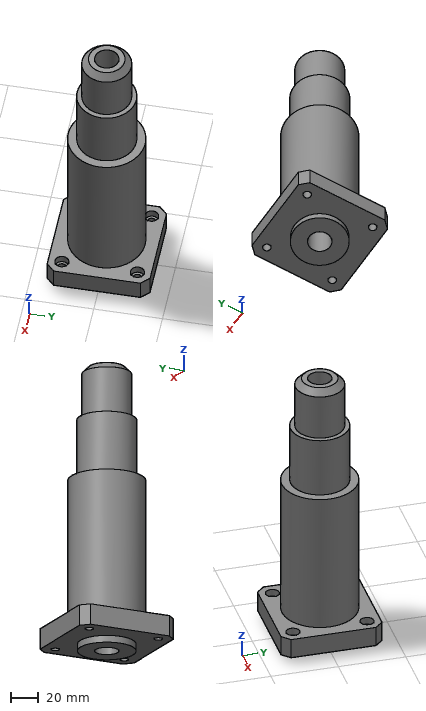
import cadquery as cq

total_height = 212.2
flange_width = 75.0
flange_thickness = 15.3
flange_corner_chamfer = 6.0

spigot_diameter = 42.0
spigot_height = 5.0

lower_diameter = 56.0
lower_top = 127.5
middle_diameter = 43.0
middle_top = 173.0
upper_diameter = 35.9
tip_chamfer = 4.9

bore_diameter = 17.5

hole_spacing = 55.0
hole_diameter = 6.0
counterbore_diameter = 10.0
counterbore_depth = 5.5


def cylinder(diameter, bottom, top):
    """Vertical cylinder on the part axis between two heights."""
    return cq.Workplane("XY").workplane(offset=bottom).circle(diameter / 2).extrude(top - bottom)


def make_flange():
    """Square plate with chamfered corners and four counterbored holes."""
    plate = (
        cq.Workplane("XY")
        .workplane(offset=spigot_height)
        .rect(flange_width, flange_width)
        .extrude(flange_thickness)
        .edges("|Z")
        .chamfer(flange_corner_chamfer)
    )
    return (
        plate.faces(">Z")
        .workplane()
        .rect(hole_spacing, hole_spacing, forConstruction=True)
        .vertices()
        .cboreHole(hole_diameter, counterbore_diameter, counterbore_depth)
    )


def make_column():
    """Three stacked cylinders, the uppermost with a chamfered tip."""
    flange_top = spigot_height + flange_thickness
    lower = cylinder(lower_diameter, flange_top, lower_top)
    middle = cylinder(middle_diameter, lower_top, middle_top)
    upper = cylinder(upper_diameter, middle_top, total_height).faces(">Z").chamfer(tip_chamfer)
    return lower.union(middle).union(upper)


spigot = cylinder(spigot_diameter, 0, spigot_height)
bore = cylinder(bore_diameter, 0, total_height)

result = make_flange().union(spigot).union(make_column()).cut(bore)